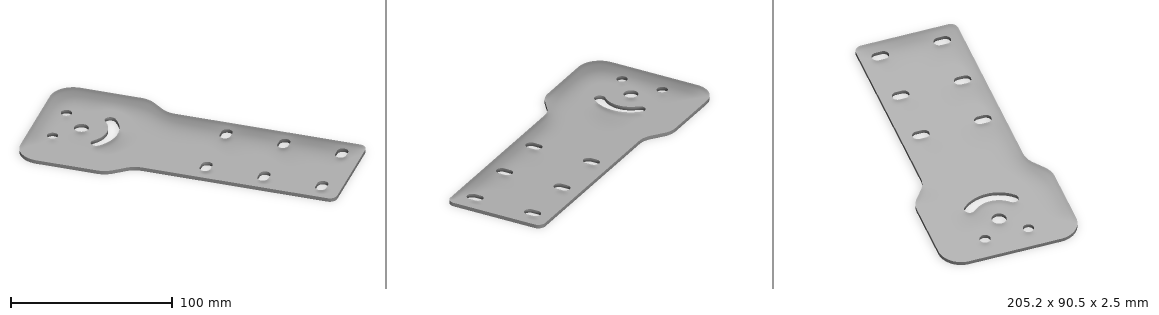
import cadquery as cq
import math

length = 205.2
head_width = 90.5
arm_width = 67.0
thickness = 2.5
taper_start = 59.7
taper_end = 74.9
head_radius = 15.0
arm_end_radius = 5.0

pivot_x = 30.0
pivot_diameter = 9.2
fixing_diameter = 7.0
pitch_radius = 20.1
slot_half_angle = 45.0

arm_slot_width = fixing_diameter
arm_slot_length = 11.0
arm_slot_first_x = 117.4
arm_slot_pitch = 37.5
arm_slot_columns = 3
arm_slot_row_y = 20.3

fixing_offset = pitch_radius * math.cos(math.radians(slot_half_angle))


def make_plate():
    """Flat plate with rounded corners and a blended taper."""
    head_y = head_width / 2
    arm_y = arm_width / 2
    upper_half = [(0, head_y), (taper_start, head_y), (taper_end, arm_y), (length, arm_y)]
    lower_half = [(x, -y) for x, y in reversed(upper_half)]
    plate = cq.Workplane("XY").polyline(upper_half + lower_half).close().extrude(thickness)
    plate = plate.faces(">X").edges("|Z").fillet(arm_end_radius)

    middle_x = (taper_end + length) / 2
    head_corners = cq.selectors.BoxSelector(
        (-length, -head_width, -thickness), (middle_x, head_width, 2 * thickness)
    )
    return plate.edges("|Z").edges(head_corners).fillet(head_radius)


def make_round_holes():
    pivot = cq.Workplane("XY").center(pivot_x, 0).circle(pivot_diameter / 2).extrude(thickness)
    fixing_x = pivot_x - fixing_offset
    fixings = (
        cq.Workplane("XY")
        .pushPoints([(fixing_x, -fixing_offset), (fixing_x, fixing_offset)])
        .circle(fixing_diameter / 2)
        .extrude(thickness)
    )
    return pivot.union(fixings)


def make_arc_slot():
    """Round-ended slot concentric with the pivot hole."""
    inner = pitch_radius - fixing_diameter / 2
    outer = pitch_radius + fixing_diameter / 2

    def polar(radius, angle):
        radians = math.radians(angle)
        return (pivot_x + radius * math.cos(radians), radius * math.sin(radians))

    return (
        cq.Workplane("XY")
        .moveTo(*polar(outer, -slot_half_angle))
        .threePointArc(polar(outer, 0), polar(outer, slot_half_angle))
        .tangentArcPoint(polar(inner, slot_half_angle), relative=False)
        .threePointArc(polar(inner, 0), polar(inner, -slot_half_angle))
        .tangentArcPoint(polar(outer, -slot_half_angle), relative=False)
        .close()
        .extrude(thickness)
    )


def make_arm_slots():
    centers = [
        (arm_slot_first_x + column * arm_slot_pitch, side * arm_slot_row_y)
        for column in range(arm_slot_columns)
        for side in (-1, 1)
    ]
    return (
        cq.Workplane("XY")
        .pushPoints(centers)
        .slot2D(arm_slot_length, arm_slot_width, 90)
        .extrude(thickness)
    )


result = make_plate().cut(make_round_holes()).cut(make_arc_slot()).cut(make_arm_slots())